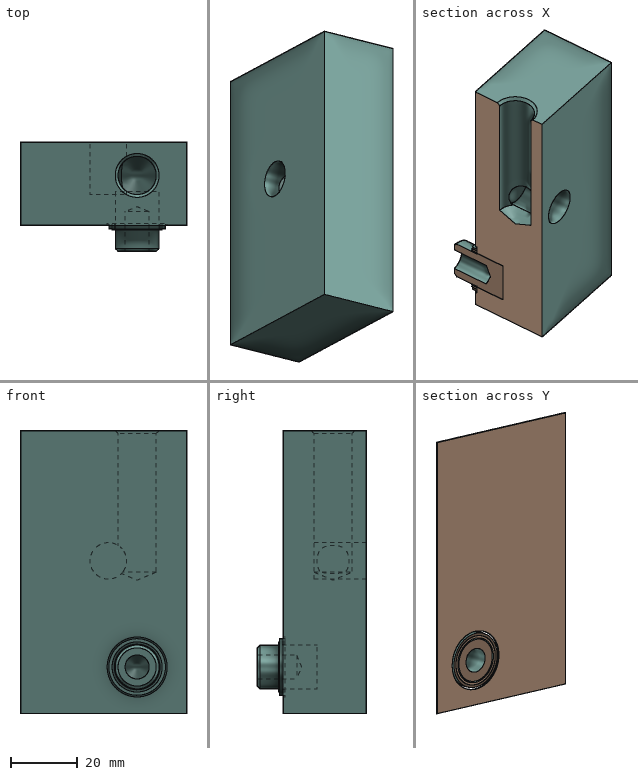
import cadquery as cq
import math

block_width = 50.0
block_depth = 25.0
block_height = 85.0

drill_tip_angle = 135.0

port_x = 10.0
port_y = 15.0
port_bore_diameter = 11.5
port_mouth_diameter = 13.2
port_depth = 42.5

cross_bore_diameter = 11.0
cross_bore_x = 1.4
cross_bore_rise = 3.4
cross_bore_z = block_height - port_depth + cross_bore_rise
cross_bore_depth = block_depth - port_y + port_bore_diameter / 2

stud_x = port_x
stud_z = 14.0
stud_diameter = 13.2
stud_tip_diameter = 11.5
stud_projection = 7.8
stud_insertion = 10.2
stud_chamfer = (stud_diameter - stud_tip_diameter) / 2
stud_bore_diameter = 7.2
stud_bore_depth = 11.9

seal_recess_diameter = 18.0
seal_recess_depth = 0.5
metal_ring_diameter = 17.0
lip_outer_diameter = 15.05
lip_inner_diameter = 13.7
metal_ring_projection = 1.1
lip_projection = 1.4


def drilled_hole(diameter, depth):
    """Cutter for a blind hole from the XY plane down to -Z: full diameter to depth, then a cone."""
    radius = diameter / 2
    tip_depth = depth + radius / math.tan(math.radians(drill_tip_angle / 2))
    profile = cq.Workplane("XZ").polyline([(0, 0), (radius, 0), (radius, -depth), (0, -tip_depth)])
    return profile.close().revolve(360, (0, 0), (0, 1))


def front_cylinder(diameter, front_y, back_y):
    """Cylinder on the stud axis between two Y positions."""
    plane = cq.Plane(origin=(stud_x, front_y, stud_z), xDir=(1, 0, 0), normal=(0, 1, 0))
    return cq.Workplane(plane).circle(diameter / 2).extrude(back_y - front_y)


def make_port():
    """Cutter for the top port: a blind drilled hole with a 45 degree countersink."""
    bore = drilled_hole(port_bore_diameter, port_depth)
    mouth_chamfer = (port_mouth_diameter - port_bore_diameter) / 2
    mouth = cq.Workplane("XY").circle(port_mouth_diameter / 2).extrude(-mouth_chamfer, taper=45)
    return bore.union(mouth).translate((port_x, port_y, block_height))


def make_cross_bore():
    """Cutter for the flat-ended cross bore from the back face."""
    plane = cq.Plane(origin=(cross_bore_x, block_depth, cross_bore_z), xDir=(1, 0, 0), normal=(0, -1, 0))
    return cq.Workplane(plane).circle(cross_bore_diameter / 2).extrude(cross_bore_depth)


def make_block():
    """Rectangular block with the port, the cross bore, the seal recess and the stud hole."""
    block = cq.Workplane("XY").box(block_width, block_depth, block_height, centered=(True, False, False))
    block = block.cut(make_port())
    block = block.cut(make_cross_bore())
    block = block.cut(front_cylinder(seal_recess_diameter, 0, seal_recess_depth))
    return block.cut(front_cylinder(stud_diameter, 0, stud_insertion))


def make_stud():
    """Stud with a chamfered tip and a blind drilled bore from its front end."""
    stud = front_cylinder(stud_diameter, -stud_projection, stud_insertion)
    stud = stud.faces("<Y").chamfer(stud_chamfer)
    bore = drilled_hole(stud_bore_diameter, stud_bore_depth).rotate((0, 0, 0), (1, 0, 0), 90)
    return stud.cut(bore.translate((stud_x, -stud_projection, stud_z)))


def make_ring(outer_diameter, inner_diameter, projection):
    """Flat ring that rests on the recess floor and stands out of the front face."""
    outer = front_cylinder(outer_diameter, -projection, seal_recess_depth)
    return outer.cut(front_cylinder(inner_diameter, -projection, seal_recess_depth))


block = make_block()
stud = make_stud()
metal_ring = make_ring(metal_ring_diameter, lip_outer_diameter, metal_ring_projection)
rubber_lip = make_ring(lip_outer_diameter, lip_inner_diameter, lip_projection)

result = cq.Compound.makeCompound([block.val(), stud.val(), metal_ring.val(), rubber_lip.val()])